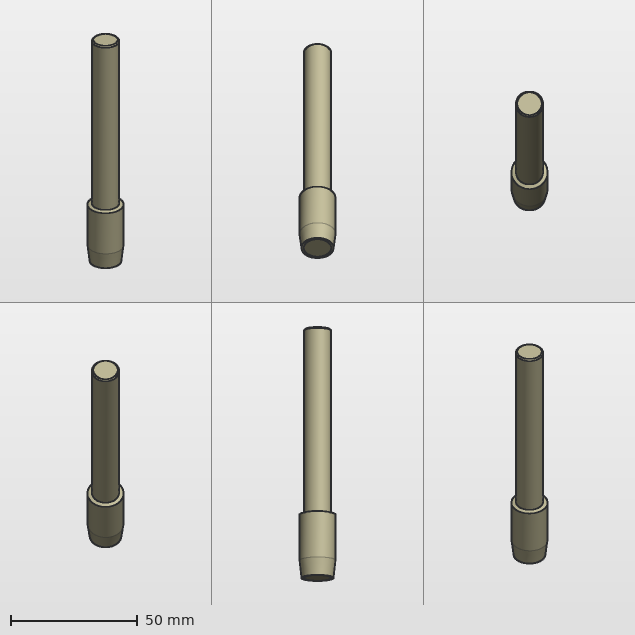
import cadquery as cq

total_length = 100.0
pin_diameter = 10.8
pin_top_chamfer = 0.6

sleeve_diameter = 14.3
sleeve_length = 25.9
sleeve_top_rise = 0.5
taper_length = 7.1
taper_end_diameter = 12.7


def make_pin():
    """Straight round pin running the full length, with a chamfered top edge."""
    pin = cq.Workplane("XY").circle(pin_diameter / 2).extrude(total_length)
    return pin.faces(">Z").edges().chamfer(pin_top_chamfer)


def make_sleeve():
    """Turned sleeve with a tapered lower end and a shallow conical top, bored through to fit the pin."""
    bore_radius = pin_diameter / 2
    outer_radius = sleeve_diameter / 2
    profile = (
        cq.Workplane("XZ")
        .moveTo(bore_radius, 0)
        .lineTo(taper_end_diameter / 2, 0)
        .lineTo(outer_radius, taper_length)
        .lineTo(outer_radius, sleeve_length - sleeve_top_rise)
        .lineTo(bore_radius, sleeve_length)
        .close()
    )
    return profile.revolve(360, (0, 0, 0), (0, 1, 0))


pin = make_pin()
sleeve = make_sleeve()

result = cq.Compound.makeCompound([pin.val(), sleeve.val()])